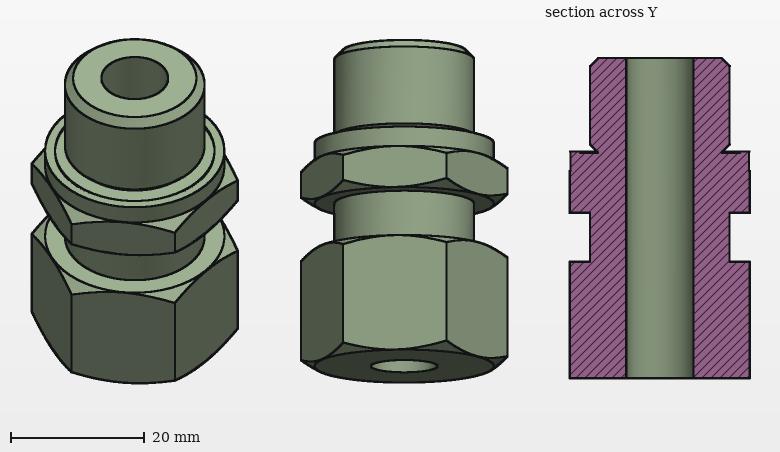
import cadquery as cq
import math

total_height = 48.0
across_flats = 27.0
across_corners = across_flats / math.cos(math.pi / 6)
bore_diameter = 10.0

stud_diameter = 21.0
stud_end_diameter = 18.5
stud_chamfer = (stud_diameter - stud_end_diameter) / 2

nut_top = 17.45
body_hex_bottom = 24.75
body_hex_top = 31.05
collar_top = 34.0

collar_diameter = 26.9
recess_diameter = 23.9
recess_depth = 0.2

hex_chamfer_angle = 30.0

flat_alignment_angle = 30.0


def cylinder(diameter, bottom, top):
    return cq.Workplane("XY").workplane(offset=bottom).circle(diameter / 2).extrude(top - bottom)


def chamfered_hexagon(bottom, top):
    """Hexagon with flats facing +X and -X and both ends turned to a cone."""
    prism = (
        cq.Workplane("XY")
        .workplane(offset=bottom)
        .polygon(6, across_corners)
        .extrude(top - bottom)
        .rotate((0, 0, 0), (0, 0, 1), flat_alignment_angle)
    )
    face_radius = collar_diameter / 2
    corner_radius = across_corners / 2
    drop = (corner_radius - face_radius) * math.tan(math.radians(hex_chamfer_angle))
    envelope = (
        cq.Workplane("XZ")
        .moveTo(0, bottom)
        .lineTo(face_radius, bottom)
        .lineTo(corner_radius, bottom + drop)
        .lineTo(corner_radius, top - drop)
        .lineTo(face_radius, top)
        .lineTo(0, top)
        .close()
        .revolve(360, (0, 0, 0), (0, 1, 0))
    )
    return prism.intersect(envelope)


def stud():
    """Stud chamfered at its tip, with an equal undercut cone down to the recess floor."""
    end_radius = stud_end_diameter / 2
    outer_radius = stud_diameter / 2
    floor = collar_top - recess_depth
    return (
        cq.Workplane("XZ")
        .moveTo(0, floor)
        .lineTo(end_radius, floor)
        .lineTo(outer_radius, floor + stud_chamfer)
        .lineTo(outer_radius, total_height - stud_chamfer)
        .lineTo(end_radius, total_height)
        .lineTo(0, total_height)
        .close()
        .revolve(360, (0, 0, 0), (0, 1, 0))
    )


collar = cylinder(collar_diameter, body_hex_top, collar_top)
recess = cylinder(recess_diameter, collar_top - recess_depth, collar_top)
neck = cylinder(stud_diameter, nut_top, body_hex_bottom)

result = (
    chamfered_hexagon(0, nut_top)
    .union(neck)
    .union(chamfered_hexagon(body_hex_bottom, body_hex_top))
    .union(collar.cut(recess))
    .union(stud())
    .cut(cylinder(bore_diameter, 0, total_height))
)